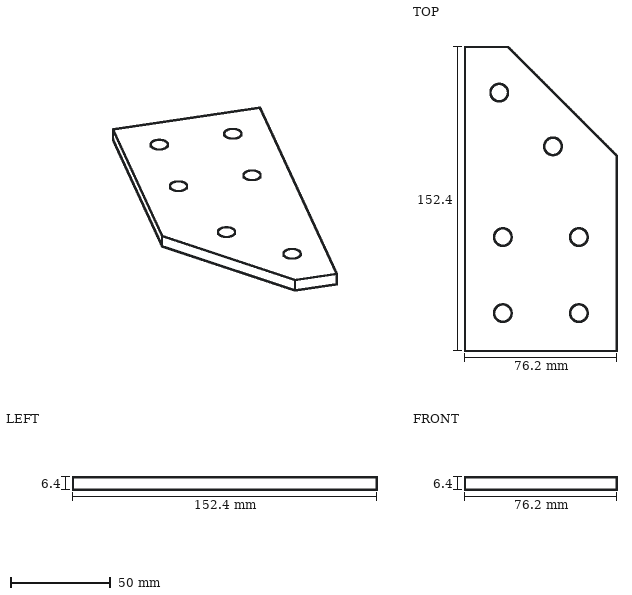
import cadquery as cq
import math

width = 76.2
length = 152.4
thickness = 6.4
corner_cut = 54.5

hole_diameter = 8.7
hole_pitch = 38.1
edge_distance = hole_pitch / 2
upper_hole_x = 17.2
upper_hole_y = 129.5

square_holes = [
    (edge_distance + column * hole_pitch, edge_distance + row * hole_pitch)
    for column in range(2)
    for row in range(2)
]

diagonal_step = hole_pitch / math.sqrt(2)
sloping_holes = [
    (upper_hole_x, upper_hole_y),
    (upper_hole_x + diagonal_step, upper_hole_y - diagonal_step),
]

plate = (
    cq.Workplane("XY")
    .polyline([
        (0, 0),
        (width, 0),
        (width, length - corner_cut),
        (width - corner_cut, length),
        (0, length),
    ])
    .close()
    .extrude(thickness)
)

hole_cutters = (
    cq.Workplane("XY")
    .pushPoints(square_holes + sloping_holes)
    .circle(hole_diameter / 2)
    .extrude(thickness)
)

result = plate.cut(hole_cutters)